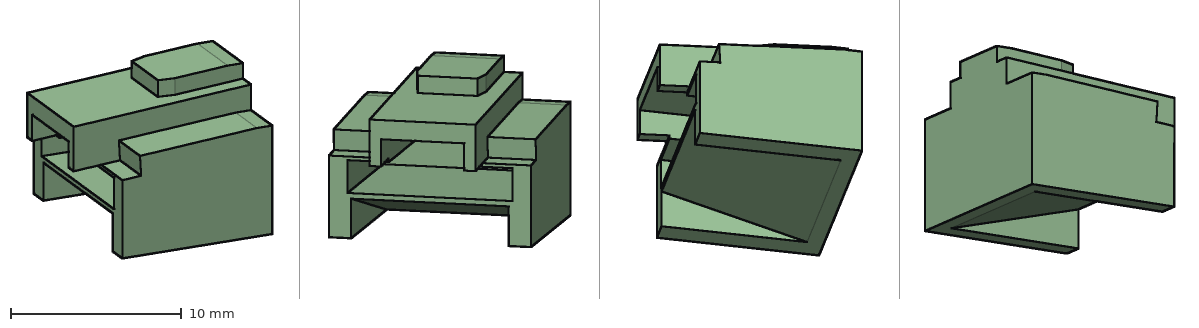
import cadquery as cq

body_width = 12.2
body_depth = 9.72
latch_overhang = 1.78
slope = 0.073

body_top = 6.78
flat_top_depth = 1.0
shelf_front_height = 4.89
step_foot_y = 1.22
step_head_y = 1.15

latch_width = 6.39
latch_back_height = 8.38

tab_width = 4.16
tab_nose_width = 3.6
tab_length = 5.39
tab_nose_length = 0.98
tab_top = 9.35

cavity_width = 9.95
cavity_floor = 2.71
cavity_shoulder = 4.67
cavity_neck_width = 5.0
cavity_roof = 6.39
back_wall = 1.0

recess_width = 9.5
recess_height = 2.38
recess_depth = body_depth - back_wall


def side_profile(points, width):
    """Extrude a (Y, Z) outline symmetrically across X."""
    return cq.Workplane("YZ").polyline(points).close().extrude(width / 2, both=True)


def front_box(width, y_start, y_end, z_bottom, z_top):
    """Box centred on X between the given Y and Z limits."""
    size = (width, y_end - y_start, z_top - z_bottom)
    return cq.Workplane("XY").box(*size, centered=(True, False, False)).translate(
        (0, y_start, z_bottom)
    )


crease_y = body_depth - flat_top_depth


def shelf_height(y):
    return shelf_front_height + slope * y


def make_housing():
    step_top = body_top - slope * (crease_y - step_head_y)
    return side_profile(
        [
            (0, 0),
            (body_depth, 0),
            (body_depth, body_top),
            (crease_y, body_top),
            (step_head_y, step_top),
            (step_foot_y, shelf_height(step_foot_y)),
            (0, shelf_front_height),
        ],
        body_width,
    )


def make_latch():
    front_y = -latch_overhang
    return side_profile(
        [
            (front_y, shelf_height(front_y)),
            (body_depth, shelf_height(body_depth)),
            (body_depth, latch_back_height),
            (front_y, latch_back_height - slope * (body_depth + latch_overhang)),
        ],
        latch_width,
    )


def make_tab():
    nose_y = body_depth - tab_length
    taper_y = nose_y + tab_nose_length
    side = side_profile(
        [
            (nose_y, body_top),
            (body_depth, body_top),
            (body_depth, tab_top),
            (crease_y, tab_top),
            (nose_y, tab_top - slope * (crease_y - nose_y)),
        ],
        tab_width,
    )
    plan = (
        cq.Workplane("XY")
        .polyline(
            [
                (-tab_width / 2, body_depth),
                (-tab_width / 2, taper_y),
                (-tab_nose_width / 2, nose_y),
                (tab_nose_width / 2, nose_y),
                (tab_width / 2, taper_y),
                (tab_width / 2, body_depth),
            ]
        )
        .close()
        .extrude(tab_top)
    )
    return side.intersect(plan)


def make_cavity():
    end_y = body_depth - back_wall
    wide = front_box(cavity_width, 0, end_y, cavity_floor, cavity_shoulder)
    neck = front_box(cavity_neck_width, -latch_overhang, end_y, cavity_floor, cavity_roof)
    return wide.union(neck)


def make_recess():
    return side_profile([(0, 0), (recess_depth, 0), (0, recess_height)], recess_width)


result = make_housing().union(make_latch()).union(make_tab()).cut(make_cavity()).cut(make_recess())